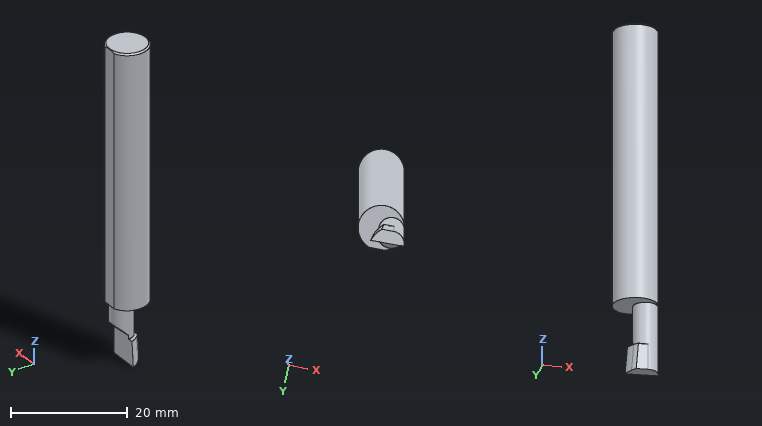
import cadquery as cq
import math

overall_length = 63.49
top_z = overall_length / 2
bottom_z = -top_z

shank_diameter = 7.9375
shank_radius = shank_diameter / 2
shank_length = 50.8
shank_chamfer = 0.3
overall_depth = 7.68
flat_y = overall_depth - shank_radius
shank_bottom_z = top_z - shank_length

neck_radius = 2.2
neck_x = shank_radius - neck_radius

rake_height = 5.7
rake_runout_angle = 42.0

head_height = 5.0
side_tilt = 4.8
tip_x = -1.83
relief_end_x = -1.02
relief_end_y = -1.5
relief_bulge = 0.08
bevel_end_x = -0.37
heel_y = -neck_radius

dish_angle = 1.5
clearance_angle = 6.0

cutter_size = 20.0


def make_shank():
    """Round bar, chamfered at the top, with the clamping flat along its length."""
    bar = (
        cq.Workplane("XY", origin=(0, 0, shank_bottom_z))
        .circle(shank_radius)
        .extrude(shank_length)
        .faces(">Z")
        .chamfer(shank_chamfer)
    )
    flat_cutter = cq.Workplane("XY", origin=(0, flat_y, shank_bottom_z)).box(
        cutter_size, cutter_size, shank_length, centered=(True, False, False)
    )
    return bar.cut(flat_cutter)


def make_neck():
    """Thin round neck from the shank down to the tip."""
    return (
        cq.Workplane("XY", origin=(neck_x, 0, bottom_z))
        .circle(neck_radius)
        .extrude(shank_bottom_z - bottom_z)
    )


def head_section(z, shift):
    """Head outline at height z, with its cutting side moved by shift along X."""
    chord_x = relief_end_x - tip_x
    chord_y = relief_end_y
    chord = math.hypot(chord_x, chord_y)
    bulge_x = (tip_x + relief_end_x) / 2 + relief_bulge * chord_y / chord
    bulge_y = relief_end_y / 2 - relief_bulge * chord_x / chord
    return (
        cq.Workplane("XY", origin=(0, 0, z))
        .moveTo(tip_x + shift, 0)
        .threePointArc((bulge_x + shift, bulge_y), (relief_end_x + shift, relief_end_y))
        .lineTo(bevel_end_x + shift, heel_y)
        .lineTo(neck_x, heel_y)
        .lineTo(neck_x, 0)
        .close()
        .wires()
        .val()
    )


def make_head():
    """Cutting head, its cutting side leaning out toward the tip."""
    lean = head_height * math.tan(math.radians(side_tilt))
    lower = head_section(bottom_z, 0)
    upper = head_section(bottom_z + head_height, lean)
    return cq.Workplane(cq.Solid.makeLoft([lower, upper], True))


def rake_cutter():
    """Block that removes the +Y half of the neck near the tip."""
    runout_rise = cutter_size * math.tan(math.radians(rake_runout_angle))
    rake_top_z = bottom_z + rake_height
    return (
        cq.Workplane("YZ")
        .moveTo(0, bottom_z)
        .lineTo(0, rake_top_z)
        .lineTo(cutter_size, rake_top_z + runout_rise)
        .lineTo(cutter_size, bottom_z)
        .close()
        .extrude(cutter_size, both=True)
    )


def end_face_cutter():
    """Block under the end face, its tilted top passing through the tip."""
    block = cq.Workplane("XY").box(
        cutter_size, cutter_size, cutter_size, centered=(True, True, False)
    )
    return (
        block.translate((0, 0, -cutter_size))
        .rotate((0, 0, 0), (1, 0, 0), -clearance_angle)
        .rotate((0, 0, 0), (0, 1, 0), -dish_angle)
        .translate((tip_x, 0, bottom_z))
    )


cutting_end = make_neck().union(make_head()).cut(rake_cutter()).cut(end_face_cutter())
result = make_shank().union(cutting_end)